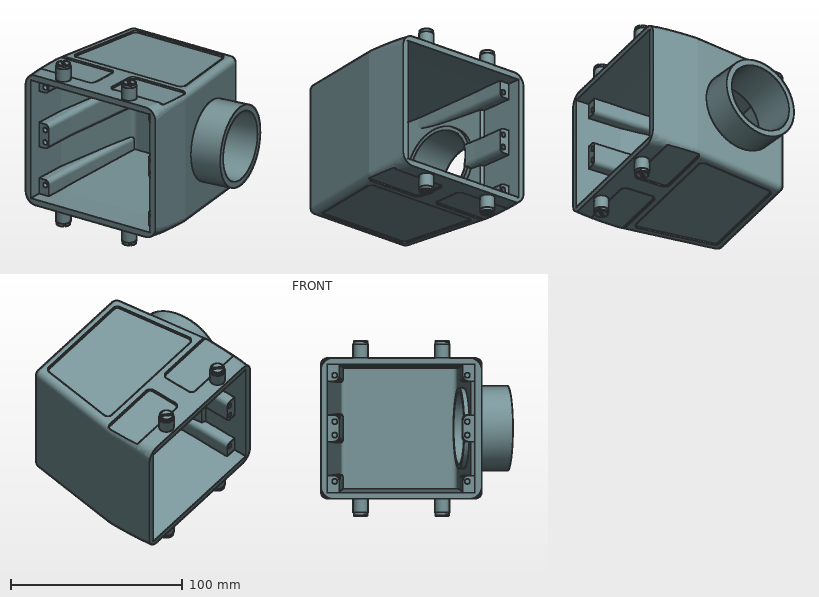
import cadquery as cq
import math


total_width = 112.4
body_width = 94.1
body_depth = 94.0
body_height = 82.5
half_height = body_height / 2
fold_y = 30.0
side_angle = 8.0
lean = math.tan(math.radians(side_angle))
edge_radius = 4.0

rim_radius = 7.3
flare_depth = fold_y
flare_power = 2.5
flare_steps = 5

left_wall = 3.7
right_wall = 4.0
rim_wall = 3.7
back_wall = 3.7
cavity_back = body_depth - back_wall
right_thickening = 2.4
step_slope = 1.1
draft_start = 19.7
draft_inset = 2.4
cavity_back_radius = 2.8
cavity_half_height = half_height - rim_wall
cavity_right = body_width - right_wall

post_front = 8.4
post_width = 7.0
corner_post_height = 9.9
middle_post_height = 15.4
post_radius = 2.8
post_growth_x = 2.5
post_growth_z = 1.1
post_root = 3.4
screw_diameter = 3.0
screw_depth = 11.2
screw_inset = 4.4
corner_screw_z = 31.0
middle_screw_z = 3.9

entry_diameter = 49.9
sleeve_diameter = 47.2
bore_diameter = 42.5
entry_length = 28.6
bore_overrun = 2.2
entry_outer_length = 21.4
entry_center_y = 63.9
entry_center_x = total_width - entry_diameter / 2 * math.sin(math.radians(side_angle))

pin_diameter = 8.9
pin_spacing = 47.7
pin_y = 5.8
pin_top = 51.3
pin_root = 1.1
pin_head_diameter = 8.2
pin_head_height = 2.1
pin_head_chamfer = 0.5
slot_width = 1.3
slot_depth = 0.9
slot_angle = -45.0

recess_depth = 0.9
recess_draft = 30.0
recess_radius = 3.0
panel_front = 36.5
panel_back = 88.9
panel_margin = 6.1
pad_front = 10.3
pad_back = 32.8
pad_gap = 12.0
pad_overhang = 11.2


def side_x(y):
    """Inward shift of a leaning side wall at depth y."""
    return max(0.0, y - fold_y) * lean


def both_faces(shape):
    """The shape and its mirror image below the plane z = 0."""
    return shape.union(shape.mirror("XY"))


def outer_body():
    taper = side_x(body_depth)
    body = (
        cq.Workplane("XY")
        .workplane(offset=-half_height)
        .polyline([
            (0, 0),
            (body_width, 0),
            (body_width, fold_y),
            (body_width - taper, body_depth),
            (taper, body_depth),
            (0, fold_y),
        ])
        .close()
        .extrude(body_height)
    )
    back_edges = body.faces(">Y").edges()
    long_edges = body.faces("<Z or >Z").edges("not <Y")
    return body.newObject(back_edges.add(long_edges).vals()).fillet(edge_radius)


def corner_flare():
    """Cutter that widens the top left edge radius towards the rim."""
    clearance = 1.1
    bulge = 1 - math.sqrt(0.5)
    wires = []
    for step in range(flare_steps):
        y = flare_depth * step / (flare_steps - 1)
        radius = edge_radius + (rim_radius - edge_radius) * (1 - y / flare_depth) ** flare_power
        section = (
            cq.Workplane("XZ", origin=(0, y, half_height))
            .moveTo(-clearance, clearance)
            .lineTo(radius, clearance)
            .lineTo(radius, 0)
            .threePointArc((radius * bulge, -radius * bulge), (0, -radius))
            .lineTo(-clearance, -radius)
            .close()
        )
        wires.append(section.wire().val())
    return cq.Workplane(cq.Solid.makeLoft(wires))


def cavity():
    taper = side_x(cavity_back)
    right_step = cavity_right - right_thickening
    step_back = fold_y + step_slope
    plan = (
        cq.Workplane("XY")
        .workplane(offset=-half_height)
        .polyline([
            (left_wall, 0),
            (cavity_right, 0),
            (cavity_right, fold_y),
            (right_step, step_back),
            (right_step + side_x(step_back) - taper, cavity_back),
            (left_wall + taper, cavity_back),
            (left_wall, fold_y),
        ])
        .close()
        .extrude(body_height)
        .faces(">Y")
        .edges("|Z")
        .fillet(cavity_back_radius)
    )
    back_half = cavity_half_height - draft_inset
    profile = (
        cq.Workplane("YZ")
        .polyline([
            (0, -cavity_half_height),
            (draft_start, -cavity_half_height),
            (cavity_back, -back_half),
            (cavity_back, back_half),
            (draft_start, cavity_half_height),
            (0, cavity_half_height),
        ])
        .close()
        .extrude(body_width)
    )
    return plan.intersect(profile)


def post_section(y, growth_x, growth_z, z_low, z_high):
    """Outline of a left post, rooted in the wall, with rounded inner corners."""
    root_x = left_wall - post_root
    width = post_root + post_width + growth_x
    height = z_high - z_low + 2 * growth_z
    return (
        cq.Sketch()
        .push([(root_x + width / 2, (z_low + z_high) / 2)])
        .rect(width, height)
        .reset()
        .vertices(">X")
        .fillet(post_radius)
        .moved(cq.Location((0, 0, -y)))
    )


def left_post(z_low, z_high):
    """Straight post up to the fold, then growing slightly towards the back."""
    straight = (
        cq.Workplane("XZ")
        .placeSketch(post_section(post_front, 0, 0, z_low, z_high))
        .extrude(post_front - fold_y)
    )
    growing = (
        cq.Workplane("XZ")
        .placeSketch(
            post_section(fold_y, 0, 0, z_low, z_high),
            post_section(cavity_back, post_growth_x, post_growth_z, z_low, z_high),
        )
        .loft()
    )
    return straight.union(growing)


def left_posts():
    corner_top = cavity_half_height + post_root
    corner = left_post(cavity_half_height - corner_post_height, corner_top)
    middle = left_post(-middle_post_height / 2, middle_post_height / 2)
    posts = middle.union(both_faces(corner))
    screw_x = left_wall + screw_inset
    screw_heights = [-corner_screw_z, -middle_screw_z, middle_screw_z, corner_screw_z]
    screws = (
        cq.Workplane("XZ", origin=(0, post_front, 0))
        .pushPoints([(screw_x, z) for z in screw_heights])
        .circle(screw_diameter / 2)
        .extrude(-screw_depth)
    )
    return posts.cut(screws)


def right_posts():
    cavity_center = (left_wall + cavity_right) / 2
    return left_posts().mirror("YZ", (cavity_center, 0, 0))


def entry_cylinder(diameter, length):
    """Cylinder running inwards from the outer end face of the cable entry."""
    angle = math.radians(side_angle)
    inwards = (-math.cos(angle), -math.sin(angle), 0)
    plane = cq.Plane((entry_center_x, entry_center_y, 0), (0, 0, 1), inwards)
    return cq.Workplane(plane).circle(diameter / 2).extrude(length)


def pin(x):
    root_z = half_height - pin_root
    neck_z = pin_top - pin_head_height
    shank = (
        cq.Workplane("XY", origin=(x, pin_y, root_z))
        .circle(pin_diameter / 2)
        .extrude(neck_z - root_z)
    )
    head = (
        cq.Workplane("XY", origin=(x, pin_y, neck_z))
        .circle(pin_head_diameter / 2)
        .extrude(pin_head_height)
        .faces(">Z")
        .chamfer(pin_head_chamfer)
    )
    slot = (
        cq.Workplane("XY", origin=(x, pin_y, pin_top - slot_depth))
        .transformed(rotate=(0, 0, slot_angle))
        .rect(pin_diameter, slot_width)
        .extrude(slot_depth)
    )
    return shank.union(head).cut(slot)


def recess(corners):
    """Shallow cutter with rounded corners and sloping walls in the top face."""
    outline = cq.Sketch().polygon(corners + corners[:1]).vertices().fillet(recess_radius)
    return (
        cq.Workplane("XY", origin=(0, 0, half_height))
        .placeSketch(outline)
        .extrude(-recess_depth, taper=recess_draft)
    )


def panel_recess():
    front_x = side_x(panel_front) + panel_margin
    back_x = side_x(panel_back) + panel_margin
    return recess([
        (front_x, panel_front),
        (body_width - front_x, panel_front),
        (body_width - back_x, panel_back),
        (back_x, panel_back),
    ])


def pad_recess():
    """Left pad, running out through the rounded side edge."""
    inner_x = (body_width - pad_gap) / 2
    return recess([
        (-pad_overhang, pad_front),
        (inner_x, pad_front),
        (inner_x, pad_back),
        (-pad_overhang, pad_back),
    ])


def left_and_right(shape):
    """The shape and its mirror image about the middle of the body."""
    return shape.union(shape.mirror("YZ", (body_width / 2, 0, 0)))


body = outer_body().cut(left_and_right(both_faces(corner_flare())))
shell = body.cut(cavity())

posts = left_posts().union(right_posts()).intersect(body)
shell = shell.union(posts)

shell = shell.union(entry_cylinder(entry_diameter, entry_outer_length).cut(cavity()))
shell = shell.union(entry_cylinder(sleeve_diameter, entry_length))
shell = shell.cut(entry_cylinder(bore_diameter, entry_length + bore_overrun))

shell = shell.cut(both_faces(panel_recess()))
shell = shell.cut(left_and_right(both_faces(pad_recess())))
for pin_x in ((body_width - pin_spacing) / 2, (body_width + pin_spacing) / 2):
    shell = shell.union(both_faces(pin(pin_x)))

result = shell